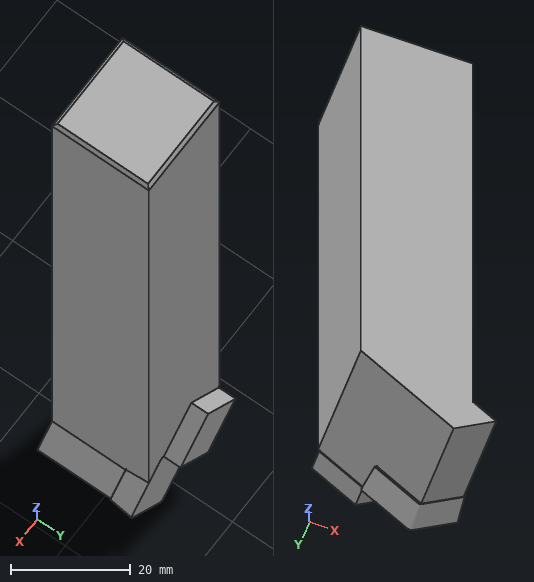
import cadquery as cq
import math

overall_width = 25.0
overall_depth = 23.5
overall_length = 133.6

shank_size = 20.0
end_chamfer = 0.7
head_width = 10.8
shoulder_height = 17.6
end_setback = 0.8
block_overhang = 0.3

insert_side = 12.7
insert_thickness = 4.8
insert_corner_radius = 0.8
relief_angle = 7.0

root_two = math.sqrt(2)
head_angle = 45.0

corner_reach = insert_side / root_two - insert_corner_radius * (root_two - 1)
insert_x = overall_width - corner_reach
insert_z = corner_reach

insert_axis_position = (insert_x - insert_z) / root_two
head_end = insert_axis_position + insert_side / 2 - end_setback
insert_back = insert_axis_position - insert_side / 2


def head_point(along, across):
    """XZ position from a distance along the head axis and one across it, up and right."""
    return ((along + across) / root_two, (across - along) / root_two)


lower_flank = shoulder_height / root_two
upper_flank = lower_flank + head_width


def extrude_outline(points, start_y, depth):
    """Extrude a closed XZ outline towards +Y."""
    plane = cq.Plane(origin=(0, start_y, 0), xDir=(1, 0, 0), normal=(0, -1, 0))
    return cq.Workplane(plane).polyline(points).close().extrude(-depth)


def make_insert():
    """Square insert, its cutting face flush with the shank and its sides relieved."""
    plane = cq.Plane(origin=(insert_x, shank_size, insert_z), xDir=(1, 0, 0), normal=(0, -1, 0))
    outline = cq.Sketch().rect(insert_side, insert_side, angle=head_angle)
    outline = outline.vertices().fillet(insert_corner_radius)
    return cq.Workplane(plane).placeSketch(outline).extrude(insert_thickness, taper=relief_angle)


def make_shank_and_head():
    """Shank bent into the slanted head, chamfered around the top end."""
    inner_bend_height = upper_flank * root_two - shank_size
    outline = [
        (0, overall_length),
        (0, shoulder_height),
        head_point(head_end, lower_flank),
        head_point(head_end, upper_flank),
        (shank_size, inner_bend_height),
        (shank_size, overall_length),
    ]
    return extrude_outline(outline, 0, shank_size).faces(">Z").chamfer(end_chamfer)


def make_raised_block():
    """Square block standing on the head directly behind the insert."""
    block_lower_side = lower_flank - block_overhang
    block_size = upper_flank - block_lower_side
    block_start = insert_back - block_size
    outline = [
        head_point(block_start, block_lower_side),
        head_point(insert_back, block_lower_side),
        head_point(insert_back, upper_flank),
        head_point(block_start, upper_flank),
    ]
    return extrude_outline(outline, shank_size, overall_depth - shank_size)


insert = make_insert()

holder = make_shank_and_head().union(make_raised_block()).cut(insert)

result = cq.Compound.makeCompound([holder.solids().val(), insert.val()])